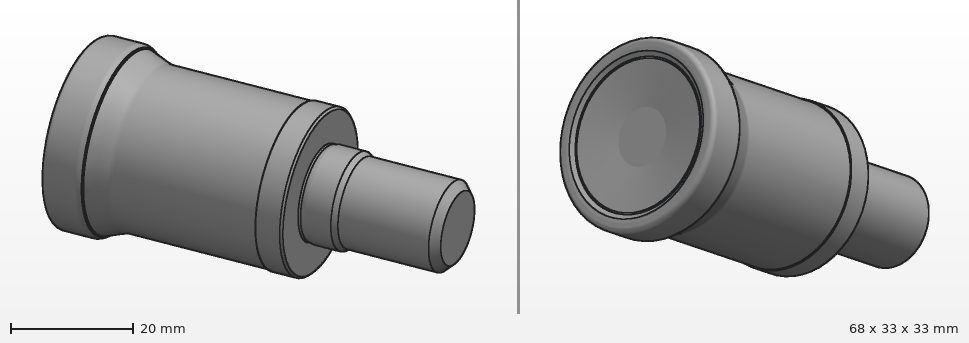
import cadquery as cq
import math


overall_length = 68.0
barrel_radius = 28.6 / 2
flare_radius = 31.6 / 2
flare_start = 7.5
flare_angle = 20.0
flare_blend_radius = 2.0
collar_radius = 29.0 / 2
collar_start = 38.1
collar_end = 43.0
collar_front_chamfer = 0.1
collar_back_chamfer = 0.4

shoulder_radius = 17.0 / 2
neck_radius = 8.42
undercut_radius = 8.3
undercut_bottom = collar_end + 0.4
undercut_end = collar_end + 1.3
shoulder_end = 49.0
stud_radius = 15.75 / 2
stud_start = 50.0
stud_chamfer = 1.5

dish_flat_radius = 5.05
dish_angle = 7.5

ring_radius = 33.0 / 2
ring_end = 7.25
ring_front_fillet = 0.9
ring_back_radius = 16.05
ring_back_angle = 30.0
ring_back_blend = 0.8

lip_flat_radius = 14.83
lip_crest_radius = 14.15
lip_foot_radius = 13.3
lip_bore_radius = 13.0
bevel_angle = 6.0
wall_angle = 31.0
rim_angle = 3.0
lip_crest_x = (lip_flat_radius - lip_crest_radius) * math.tan(math.radians(bevel_angle))
lip_foot_x = lip_crest_x + (lip_crest_radius - lip_foot_radius) * math.tan(math.radians(wall_angle))
lip_bore_x = lip_foot_x + (lip_foot_radius - lip_bore_radius) * math.tan(math.radians(rim_angle))

head_start = 2.5


def revolve_about_x(profile):
    """Turn a closed profile drawn in X and radius a full circle about the X axis."""
    return profile.close().revolve(360, (0, 0, 0), (1, 0, 0))


def make_housing():
    dish_depth = (lip_bore_radius - dish_flat_radius) * math.tan(math.radians(dish_angle))
    flare = math.radians(flare_angle)
    flare_end = flare_start + (flare_radius - barrel_radius) / math.tan(flare)
    blend_length = flare_blend_radius * math.tan(flare / 2)
    blend_centre_r = barrel_radius + flare_blend_radius
    blend_end = flare_end + blend_length
    blend_start = (
        flare_end - blend_length * math.cos(flare),
        barrel_radius + blend_length * math.sin(flare),
    )
    blend_middle = (
        blend_end - flare_blend_radius * math.sin(flare / 2),
        blend_centre_r - flare_blend_radius * math.cos(flare / 2),
    )
    profile = (
        cq.Workplane("XY")
        .moveTo(lip_bore_x + dish_depth, 0)
        .lineTo(lip_bore_x + dish_depth, dish_flat_radius)
        .lineTo(lip_bore_x, lip_bore_radius)
        .lineTo(head_start, lip_bore_radius)
        .lineTo(head_start, flare_radius)
        .lineTo(flare_start, flare_radius)
        .lineTo(*blend_start)
        .threePointArc(blend_middle, (blend_end, barrel_radius))
        .lineTo(collar_start, barrel_radius)
        .lineTo(collar_start, collar_radius - collar_front_chamfer)
        .lineTo(collar_start + collar_front_chamfer, collar_radius)
        .lineTo(collar_end - collar_back_chamfer, collar_radius)
        .lineTo(collar_end, collar_radius - collar_back_chamfer)
        .lineTo(collar_end, neck_radius)
        .lineTo(undercut_bottom, undercut_radius)
        .lineTo(undercut_end, shoulder_radius)
        .lineTo(shoulder_end, shoulder_radius)
        .lineTo(stud_start, stud_radius)
        .lineTo(overall_length - stud_chamfer, stud_radius)
        .lineTo(overall_length, stud_radius - stud_chamfer)
        .lineTo(overall_length, 0)
    )
    return revolve_about_x(profile)


def make_ring():
    fillet_offset = ring_front_fillet * (1 - math.sqrt(0.5))
    back = math.radians(ring_back_angle)
    taper_start = ring_end - (ring_radius - ring_back_radius) / math.tan(back)
    blend_start = taper_start - ring_back_blend * math.tan(back / 2)
    blend_centre_r = ring_radius - ring_back_blend
    blend_middle = (
        blend_start + ring_back_blend * math.sin(back / 2),
        blend_centre_r + ring_back_blend * math.cos(back / 2),
    )
    blend_end = (
        blend_start + ring_back_blend * math.sin(back),
        blend_centre_r + ring_back_blend * math.cos(back),
    )
    profile = (
        cq.Workplane("XY")
        .moveTo(head_start, lip_bore_radius)
        .lineTo(lip_bore_x, lip_bore_radius)
        .lineTo(lip_foot_x, lip_foot_radius)
        .lineTo(lip_crest_x, lip_crest_radius)
        .lineTo(0, lip_flat_radius)
        .lineTo(0, ring_radius - ring_front_fillet)
        .threePointArc((fillet_offset, ring_radius - fillet_offset), (ring_front_fillet, ring_radius))
        .lineTo(blend_start, ring_radius)
        .threePointArc(blend_middle, blend_end)
        .lineTo(ring_end, ring_back_radius)
        .lineTo(ring_end, flare_radius)
        .lineTo(head_start, flare_radius)
    )
    return revolve_about_x(profile)


housing = make_housing()
ring = make_ring()
result = cq.Compound.makeCompound([housing.val(), ring.val()])